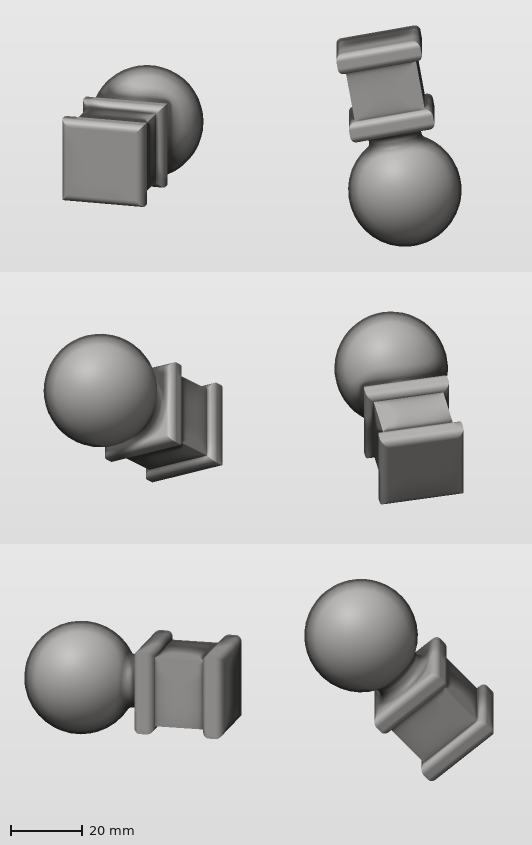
import cadquery as cq
import math


total_length = 60.0
ball_diameter = 32.0
collar_width = 24.0
collar_thickness = 6.0
shaft_length = 14.0
neck_radius = 7.5

rim_radius = collar_thickness / 3
shaft_width = collar_width - 2 * rim_radius
neck_fillet = rim_radius

ball_radius = ball_diameter / 2
ball_center = total_length - ball_radius
upper_collar_start = collar_thickness + shaft_length
upper_collar_end = upper_collar_start + collar_thickness


def square_block(width, start, length):
    """Square bar centred on the Y axis, running from Y = start to Y = start + length."""
    return cq.Workplane("XY").box(width, length, width).translate((0, start + length / 2, 0))


def collar(start):
    """Square collar with both end rims rounded; the rims meet in mitred corners."""
    return square_block(collar_width, start, collar_thickness).faces("<Y or >Y").edges().fillet(rim_radius)


def ball_and_neck():
    """Ball on a round neck, turned about Y, with concave fillets at both ends of the neck."""
    fillet_axis = neck_radius + neck_fillet
    mid_arc = neck_fillet * math.sqrt(0.5)
    lower_fillet_y = upper_collar_end + neck_fillet

    center_distance = ball_radius + neck_fillet
    tilt = math.asin(fillet_axis / center_distance)
    upper_fillet_y = ball_center - center_distance * math.cos(tilt)
    touch_point = (ball_radius * math.sin(tilt), ball_center - ball_radius * math.cos(tilt))

    half_sweep = (math.pi / 2 - tilt) / 2
    upper_fillet_mid = (
        fillet_axis - neck_fillet * math.cos(half_sweep),
        upper_fillet_y + neck_fillet * math.sin(half_sweep),
    )

    neck_root = upper_collar_end - collar_thickness / 2
    sketch = (
        cq.Workplane("XY")
        .moveTo(0, neck_root)
        .lineTo(fillet_axis, neck_root)
        .lineTo(fillet_axis, upper_collar_end)
        .threePointArc((fillet_axis - mid_arc, lower_fillet_y - mid_arc), (neck_radius, lower_fillet_y))
        .lineTo(neck_radius, upper_fillet_y)
        .threePointArc(upper_fillet_mid, touch_point)
        .threePointArc((ball_radius, ball_center), (0, total_length))
        .close()
    )
    return sketch.revolve(360, (0, 0, 0), (0, 1, 0))


shaft = square_block(shaft_width, collar_thickness / 2, shaft_length + collar_thickness)

result = collar(0).union(shaft).union(collar(upper_collar_start)).union(ball_and_neck())